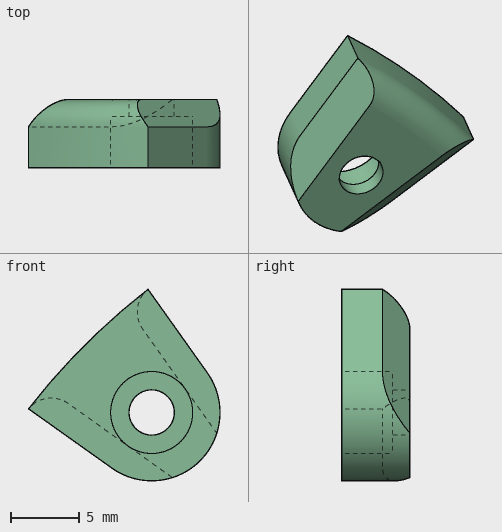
import cadquery as cq
import math

thickness = 5.0
hub_radius = 5.0
corner_reach = 9.01
corner_offset = 0.27
outer_arc_radius = 50.01
edge_size = 2.0
bore_diameter = 3.3
counterbore_diameter = 6.0
counterbore_depth = 3.75

left_corner = (-corner_reach, corner_offset)
top_corner = (-corner_offset, corner_reach)

corner_distance = math.hypot(corner_reach, corner_offset)
corner_angle = math.atan2(corner_reach, -corner_offset)
side_angle = corner_angle - math.acos(hub_radius / corner_distance)
mirrored_side_angle = 1.5 * math.pi - side_angle


def on_hub(angle):
    return (hub_radius * math.cos(angle), hub_radius * math.sin(angle))


half_chord = math.dist(left_corner, top_corner) / 2
arc_rise = outer_arc_radius - math.sqrt(outer_arc_radius**2 - half_chord**2)
chord_middle = (corner_reach + corner_offset) / 2
arc_middle = chord_middle + arc_rise / math.sqrt(2)


def plate():
    """Solid outline, from the plain face at y = 0 to the rounded face at y = thickness."""
    return (
        cq.Workplane("XZ")
        .moveTo(*left_corner)
        .threePointArc((-arc_middle, arc_middle), top_corner)
        .lineTo(*on_hub(side_angle))
        .threePointArc(on_hub(-math.pi / 4), on_hub(mirrored_side_angle))
        .close()
        .extrude(-thickness)
    )


def side_chamfer(angle):
    """Wedge that bevels a straight side at 45 degrees over its full length and past the hub."""
    half_length = 2 * corner_reach
    overshoot = edge_size
    return (
        cq.Workplane("XY", origin=(0, 0, -half_length))
        .moveTo(hub_radius, thickness - edge_size)
        .lineTo(hub_radius - edge_size - overshoot, thickness + overshoot)
        .lineTo(hub_radius + overshoot, thickness + overshoot)
        .lineTo(hub_radius + overshoot, thickness - edge_size)
        .close()
        .extrude(2 * half_length)
        .rotate((0, 0, 0), (0, 1, 0), -math.degrees(angle))
    )


outer_edge = cq.selectors.NearestToPointSelector((-arc_middle, thickness, arc_middle))
result = plate().edges(outer_edge).fillet(edge_size)

for angle in (side_angle, mirrored_side_angle):
    result = result.cut(side_chamfer(angle))

bore = cq.Workplane("XZ").circle(bore_diameter / 2).extrude(-thickness)
counterbore = cq.Workplane("XZ").circle(counterbore_diameter / 2).extrude(-counterbore_depth)
result = result.cut(bore).cut(counterbore)